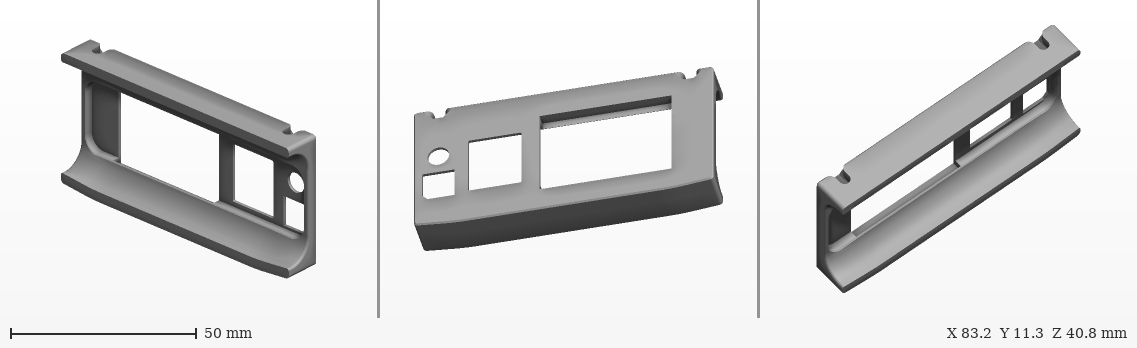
import cadquery as cq
import math

length = 83.2
depth = 11.3
height = 40.75

top_wall = 2.8
bottom_wall = 3.1
back_wall = 3.5
cove_radius = 6.65
corner_radius = 1.2
end_edge_radius = 0.7
back_chamfer = 0.4

bottom_rise = 1.2
slope_length = 11.65
bend_half_length = 3.0
slope_angle = math.atan(bottom_rise / slope_length)

recess_width = 79.6
recess_bottom = 8.7
recess_height = 21.8
recess_corner = 4.3
lip_chamfer = 0.21
panel_thickness = 0.9
recess_depth = back_wall - panel_thickness

display_left = 11.6
display_width = 36.6
display_overlap = 2.0
display_lip = 0.3
window_left = 53.2
window_bottom = 10.2
window_width = 14.8
window_height = 17.55
socket_left = 71.8
socket_bottom = 9.5
socket_size = 9.0
socket_chamfer = 1.5
opening_corner = 0.4
hole_x = 76.25
hole_z = 24.0
hole_diameter = 6.0

notch_spacing = 69.5
notch_width = 3.25
notch_length = 5.6
notch_depth = 3.25
notch_floor = height - notch_depth
notch_floor_bevel = 0.25
notch_mouth_radius = 4.6 / 2

cavity_depth = depth - back_wall
overrun = 0.8


def bent_profile(end_margin, bottom, top):
    """XZ outline whose underside follows the bent bottom, end_margin past both ends."""
    left = -end_margin
    right = length + end_margin
    end_bottom = bottom + (slope_length + end_margin) * math.tan(slope_angle)
    bend_run = bend_half_length * math.cos(slope_angle)
    bend_top = bottom + bend_half_length * math.sin(slope_angle)
    return (
        cq.Workplane("XZ")
        .moveTo(left, top)
        .lineTo(left, end_bottom)
        .lineTo(slope_length - bend_run, bend_top)
        .tangentArcPoint((slope_length + bend_half_length, bottom), relative=False)
        .lineTo(length - slope_length - bend_half_length, bottom)
        .tangentArcPoint((length - slope_length + bend_run, bend_top), relative=False)
        .lineTo(right, end_bottom)
        .lineTo(right, top)
        .close()
    )


def make_outer_block():
    """Solid envelope with rounded corners and a chamfered back outline."""
    block = bent_profile(0, 0, height).extrude(-depth)
    block = block.faces("<X or >X").edges("|Y").fillet(corner_radius)
    return block.faces(">Y").edges().chamfer(back_chamfer)


def make_cavity():
    """Open channel along X with a large cove along the top and bottom of the back wall."""
    cavity = bent_profile(overrun, bottom_wall, height - top_wall).extrude(-cavity_depth)
    return cavity.faces(">Y").edges("not |Z").fillet(cove_radius)


def round_channel_ends(body):
    """Round the edges where the channel opens through both ends of the part."""
    margin = 0.1
    for x in (0, length):
        rim = cq.selectors.BoxSelector(
            (x - margin, margin, bottom_wall),
            (x + margin, cavity_depth + margin, height - top_wall + margin),
        )
        body = body.edges(rim).fillet(end_edge_radius)
    return body


def box_at(left, bottom, width, tall, front, back):
    """Box placed by its lower left corner, reaching from front to back along Y."""
    return (
        cq.Workplane("XY")
        .box(width, back - front, tall, centered=False)
        .translate((left, front, bottom))
    )


def make_recess():
    """Rounded pocket down to the panel, reaching forward through the coves."""
    outline = cq.Sketch().rect(recess_width, recess_height).vertices().fillet(recess_corner)
    lip_outline = (
        cq.Sketch()
        .rect(recess_width + 2 * lip_chamfer, recess_height + 2 * lip_chamfer)
        .vertices()
        .fillet(recess_corner + lip_chamfer)
    )
    plane = cq.Workplane("XZ", origin=(length / 2, cavity_depth, recess_bottom + recess_height / 2))
    pocket = plane.placeSketch(outline).extrude(-recess_depth)
    lip = plane.placeSketch(lip_outline).extrude(-lip_chamfer, taper=45)
    approach = plane.placeSketch(lip_outline).extrude(cove_radius / 2)
    return pocket.union(lip).union(approach)


def make_openings():
    """Display, window, socket and round hole, all open to the back."""
    front = cavity_depth + recess_depth - overrun
    back = depth + overrun
    display = box_at(
        display_left, recess_bottom - display_overlap,
        display_width, recess_height + 2 * display_overlap,
        cavity_depth + display_lip, back,
    )
    window = box_at(window_left, window_bottom, window_width, window_height, front, back)
    window = window.edges("|Y").fillet(opening_corner)
    socket = box_at(socket_left, socket_bottom, socket_size, socket_size, front, back)
    socket = socket.edges("|Y and >X and <Z").chamfer(socket_chamfer)
    socket = socket.edges("|Y and >X and >Z").fillet(opening_corner)
    hole = (
        cq.Workplane("XZ", origin=(hole_x, front, hole_z))
        .circle(hole_diameter / 2)
        .extrude(front - back)
    )
    return display.union(window).union(socket).union(hole)


def make_notch_slot():
    """Round-ended slot at X = 0 with a bevelled floor edge."""
    half = notch_width / 2
    end_center = depth - notch_length + half
    slot = (
        cq.Workplane("XY", origin=(0, 0, notch_floor))
        .moveTo(-half, depth + overrun)
        .lineTo(-half, end_center)
        .threePointArc((0, depth - notch_length), (half, end_center))
        .lineTo(half, depth + overrun)
        .close()
        .extrude(notch_depth + overrun)
    )
    return slot.faces("<Z").edges("not >Y").chamfer(notch_floor_bevel)


def make_notch_mouth():
    """Rounded flare at X = 0, rising at 45 degrees from the slot floor to both sides."""
    half = notch_width / 2
    outer = half + notch_mouth_radius
    flare_start = depth - notch_mouth_radius
    flare = (
        cq.Workplane("XY", origin=(0, 0, notch_floor))
        .moveTo(-half, flare_start)
        .radiusArc((-outer, depth), -notch_mouth_radius)
        .lineTo(outer, depth)
        .radiusArc((half, flare_start), -notch_mouth_radius)
        .close()
        .extrude(notch_depth + overrun)
    )
    floor_half = half - notch_floor_bevel
    rise = notch_depth + overrun
    funnel = (
        cq.Workplane("XZ", origin=(0, 0, notch_floor))
        .moveTo(-floor_half, 0)
        .lineTo(floor_half, 0)
        .lineTo(floor_half + rise, rise)
        .lineTo(-floor_half - rise, rise)
        .close()
        .extrude(-depth)
    )
    return flare.intersect(funnel)


result = make_outer_block()
result = result.cut(make_cavity())
result = round_channel_ends(result)
notch = make_notch_slot().union(make_notch_mouth())
for side in (-1, 1):
    result = result.cut(notch.translate((length / 2 + side * notch_spacing / 2, 0, 0)))
result = result.cut(make_recess()).cut(make_openings())